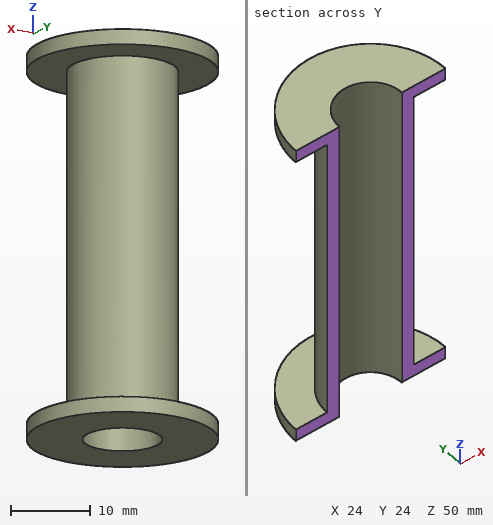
import cadquery as cq

total_length = 50.0
flange_diameter = 24.0
flange_thickness = 2.0
barrel_diameter = 14.0
bore_diameter = 10.0


def disc(diameter, length, base_z):
    """Cylinder on the Z axis standing on the height base_z."""
    return cq.Workplane("XY").workplane(offset=base_z).circle(diameter / 2).extrude(length)


bottom_z = -total_length / 2
top_flange_z = total_length / 2 - flange_thickness

spool = disc(barrel_diameter, total_length, bottom_z)
for flange_z in (bottom_z, top_flange_z):
    spool = spool.union(disc(flange_diameter, flange_thickness, flange_z))

result = spool.cut(disc(bore_diameter, total_length, bottom_z))